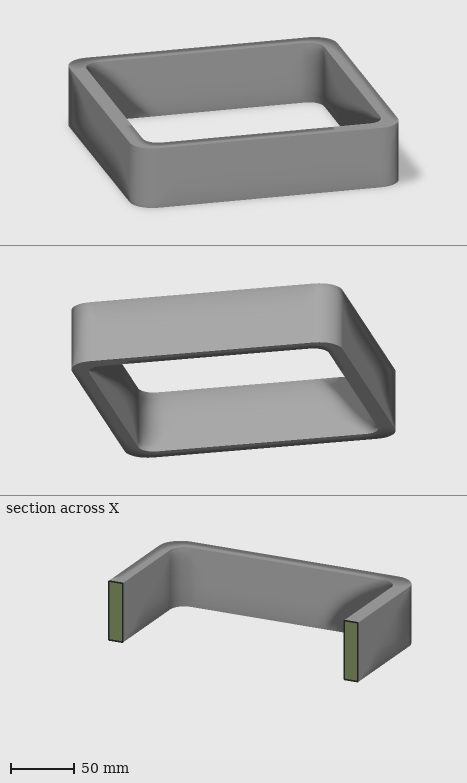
import cadquery as cq

outer_side = 220.0
height = 50.0
wall = 12.5

outer_corner_radius = 1.5 * wall
inner_corner_radius = 1.0 * wall

inner_side = outer_side - 2 * wall


def rounded_square_block(side, corner_radius):
    """Square block standing on Z = 0 with rounded vertical edges."""
    block = cq.Workplane("XY").rect(side, side).extrude(height)
    return block.edges("|Z").fillet(corner_radius)


outer_block = rounded_square_block(outer_side, outer_corner_radius)
opening = rounded_square_block(inner_side, inner_corner_radius)

result = outer_block.cut(opening)